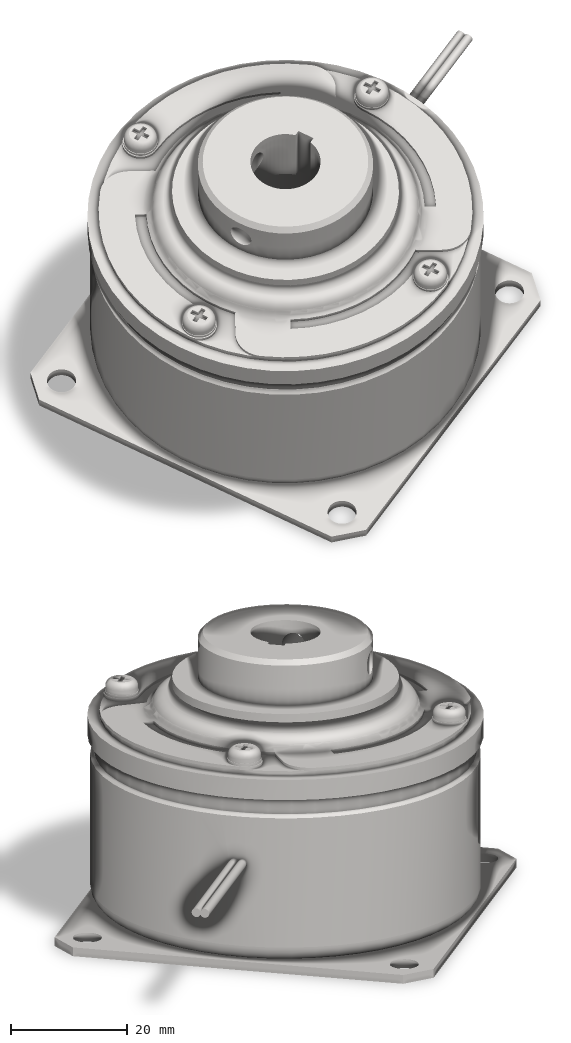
import cadquery as cq
import math


overall_length = 94.0

flange_top = 1.6
stator_shoulder_z = 28.5
stator_top = 31.1
air_gap = 0.3
armature_bottom = stator_top + air_gap
armature_step_z = 35.1
armature_top = 35.9
arm_thickness = 0.6
arm_top = armature_top + arm_thickness
dome_top = 39.0
hub_disc_bottom = 40.4
hub_disc_top = 41.9
hub_top = 50.0

stator_diameter = 67.0
stator_radius = stator_diameter / 2
stator_bottom_fillet = 2.8
stator_top_chamfer = 0.6
stator_neck_radius = 32.8
flange_side = stator_diameter
flange_corner_chamfer = 4.3
mount_hole_diameter = 5.0
mount_hole_spacing = 56.0
clearance_bore_radius = 7.05
lead_radius = 0.8
lead_spacing = 1.5
lead_z = 19.5

armature_diameter = 68.0
armature_radius = armature_diameter / 2
armature_step_radius = 31.9
lead_tip_y = overall_length - armature_radius

arm_count = 4
arm_pitch = 360 / arm_count
screw_circle_radius = 28.95
arm_half_width = 3.1
arm_outer_radius = screw_circle_radius + arm_half_width
arm_inner_radius = screw_circle_radius - arm_half_width
arm_root_radius = 23.9
root_start_angle = 32.8
dome_flat_radius = 20.7
dome_foot_radius = 24.3
dome_bend_radius = 22.75
root_edge_x = 23.9
root_edge_y = 4.1
root_edge_slope = 32.3
arm_corner_fillet = 5.0

bore_radius = 6.0
keyway_width = 3.0
keyway_top = 6.9
hub_radius = 15.0
hub_chamfer = 0.8
hub_disc_radius = 19.5
hub_neck_radius = 17.4
hub_neck_chamfer = 0.5
set_screw_hole_radius = 2.1
set_screw_z = 45.7

washer_radius = 2.9
washer_thickness = 0.5
head_radius = 2.8
head_side_top = 1.3
head_flat_radius = 2.0
head_height = 2.5
recess_length = 3.1
recess_width = 0.8
recess_depth = 0.75


def disc(radius, bottom, top):
    return cq.Workplane("XY").workplane(offset=bottom).circle(radius).extrude(top - bottom)


def polar(radius, angle):
    """Point in the XY plane at an angle in degrees."""
    return radius * math.cos(math.radians(angle)), radius * math.sin(math.radians(angle))


def make_stator():
    flange = (
        cq.Workplane("XY")
        .rect(flange_side, flange_side)
        .extrude(flange_top)
        .edges("|Z")
        .chamfer(flange_corner_chamfer)
        .faces(">Z")
        .workplane()
        .rect(mount_hole_spacing, mount_hole_spacing, forConstruction=True)
        .vertices()
        .hole(mount_hole_diameter)
    )
    body = disc(stator_radius, flange_top, stator_shoulder_z)
    body = body.faces("<Z").edges().fillet(stator_bottom_fillet)
    body = body.faces(">Z").edges().chamfer(stator_top_chamfer)
    neck = disc(stator_neck_radius, stator_shoulder_z, stator_top)
    lead_start_y = stator_neck_radius
    stator = flange.union(body).union(neck)
    for x in (-lead_spacing / 2, lead_spacing / 2):
        lead = (
            cq.Workplane("XZ", origin=(x, lead_start_y, lead_z))
            .circle(lead_radius)
            .extrude(lead_start_y - lead_tip_y)
        )
        stator = stator.union(lead)
    bore = disc(clearance_bore_radius, 0, stator_top)
    return stator.cut(bore)


def make_armature():
    plate = disc(armature_radius, armature_bottom, armature_step_z)
    step = disc(armature_step_radius, armature_step_z, armature_top)
    return plate.union(step).cut(disc(clearance_bore_radius, armature_bottom, armature_top))


def make_arm_footprint():
    """Tall block with the outline of the arm whose screw sits on +Y."""
    slope = math.radians(root_edge_slope)
    along = root_edge_x * math.cos(slope) + root_edge_y * math.sin(slope)
    across = root_edge_y * math.cos(slope) - root_edge_x * math.sin(slope)
    reach = math.sqrt(arm_outer_radius**2 - across**2) - along
    tip = (root_edge_x + reach * math.cos(slope), root_edge_y + reach * math.sin(slope))
    tip_angle = math.degrees(math.atan2(tip[1], tip[0]))
    root_end_angle = math.degrees(math.atan2(root_edge_y, root_edge_x))
    outline = (
        cq.Workplane("XY")
        .workplane(offset=armature_top)
        .moveTo(0, arm_outer_radius)
        .threePointArc(polar(arm_outer_radius, (90 + tip_angle) / 2), tip)
        .lineTo(root_edge_x, root_edge_y)
        .lineTo(*polar(dome_flat_radius, root_end_angle))
        .lineTo(*polar(dome_flat_radius, root_start_angle))
        .lineTo(*polar(arm_inner_radius, root_start_angle))
        .threePointArc(polar(arm_inner_radius, (90 + root_start_angle) / 2), (0, arm_inner_radius))
        .threePointArc((-arm_half_width, screw_circle_radius), (0, arm_outer_radius))
        .close()
    )
    arm = outline.extrude(dome_top - armature_top)
    tip_edge = cq.NearestToPointSelector((*tip, (armature_top + dome_top) / 2))
    return arm.edges(tip_edge).fillet(arm_corner_fillet)


def make_spring_plate():
    bend_share = (dome_bend_radius - dome_flat_radius) / (dome_foot_radius - dome_flat_radius)
    bend_z = dome_top - bend_share * (dome_top - arm_top)
    blank_radius = arm_outer_radius + arm_half_width
    blank = (
        cq.Workplane("XZ")
        .moveTo(clearance_bore_radius, armature_top)
        .lineTo(clearance_bore_radius, dome_top)
        .lineTo(dome_flat_radius, dome_top)
        .tangentArcPoint((dome_bend_radius, bend_z), relative=False)
        .tangentArcPoint((dome_foot_radius, arm_top), relative=False)
        .lineTo(blank_radius, arm_top)
        .lineTo(blank_radius, armature_top)
        .close()
        .revolve(360, (0, 0, 0), (0, 1, 0))
    )
    footprint = disc(arm_root_radius, armature_top, dome_top)
    arm = make_arm_footprint()
    for i in range(arm_count):
        footprint = footprint.union(arm.rotate((0, 0, 0), (0, 0, 1), i * arm_pitch))
    return blank.intersect(footprint)


def make_hub():
    neck = disc(hub_neck_radius, dome_top, hub_disc_bottom)
    neck = neck.faces(">Z").edges().chamfer(hub_neck_chamfer)
    rim = disc(hub_disc_radius, hub_disc_bottom, hub_disc_top)
    barrel = disc(hub_radius, hub_disc_top, hub_top).faces(">Z").edges().chamfer(hub_chamfer)
    bore = disc(bore_radius, dome_top, hub_top)
    keyway = (
        cq.Workplane("XY", origin=(0, keyway_top / 2, dome_top))
        .rect(keyway_width, keyway_top)
        .extrude(hub_top - dome_top)
    )
    hub = neck.union(rim).union(barrel).cut(bore).cut(keyway)
    for plane, direction in (("YZ", -1), ("XZ", 1)):
        hole = (
            cq.Workplane(plane, origin=(0, 0, set_screw_z))
            .circle(set_screw_hole_radius)
            .extrude(direction * hub_radius)
        )
        hub = hub.cut(hole)
    return hub


def make_screw(angle):
    """Cross-recessed screw head with its washer, resting on a spring arm."""
    head = (
        cq.Workplane("XZ")
        .lineTo(washer_radius, 0)
        .lineTo(washer_radius, washer_thickness)
        .lineTo(head_radius, washer_thickness)
        .lineTo(head_radius, head_side_top)
        .tangentArcPoint((head_flat_radius, head_height), relative=False)
        .lineTo(0, head_height)
        .close()
        .revolve(360, (0, 0, 0), (0, 1, 0))
    )
    for length, width in ((recess_length, recess_width), (recess_width, recess_length)):
        slot = cq.Workplane("XY").workplane(offset=head_height).rect(length, width).extrude(-recess_depth)
        head = head.cut(slot)
    x, y = polar(screw_circle_radius, angle)
    return head.translate((x, y, arm_top))


stator = make_stator()
armature = make_armature()
spring_plate = make_spring_plate()
hub = make_hub()
screws = [make_screw(i * arm_pitch) for i in range(arm_count)]

result = cq.Compound.makeCompound(
    [
        stator.solids().val(),
        armature.solids().val(),
        spring_plate.solids().val(),
        hub.solids().val(),
        *[screw.solids().val() for screw in screws],
    ]
)